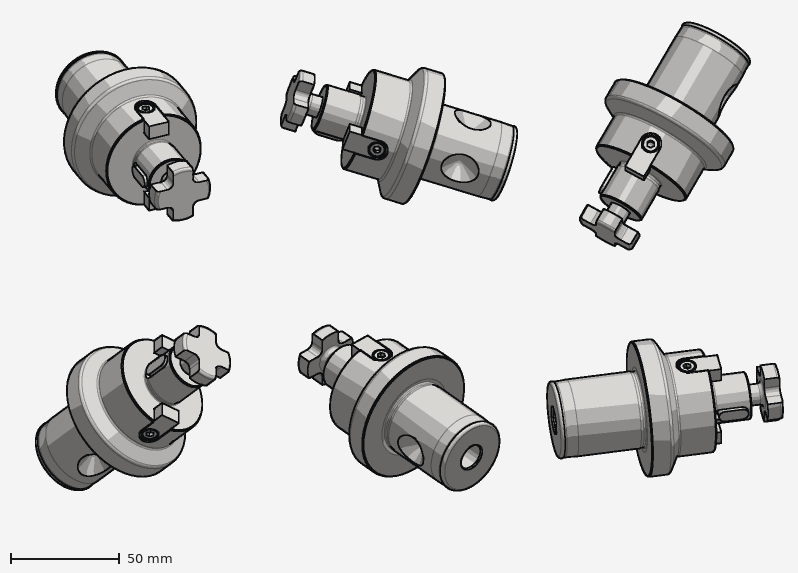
import cadquery as cq
import math


flange_x = 40.0
hub_end = 71.8
pilot_end = 90.8
head_x = 97.8
overall_length = 105.0

shank_radius = 18.0
lead_radius = 17.7
nose_round = 1.3
lead_start = 2.7
lead_end = 8.1
undercut_radius = 17.6
undercut_ramp_start = 37.5
undercut_start = 38.7

dish_radius = 19.8
dish_depth = 0.2
undercut_fillet = 0.5

flange_radius = 31.5
flange_rim_end = 48.8
hub_radius = 23.9
cone_angle = math.radians(60)
flange_round = 1.8
hub_round = 1.2
edge_chamfer = 0.5

pilot_radius = 11.0
neck_radius = 10.7
neck_root_fillet = 0.3
neck_end = 73.2
neck_ramp_end = 74.4

bore_radius = 6.1
bore_depth = 47.2
bore_chamfer_width = 0.4
bore_chamfer_length = 0.8
core_radius = 4.36

seat_x = 22.0
seat_radius = 8.8
seat_depth = 8.8

drive_key_width = 10.0
drive_key_start = 57.5
drive_key_end = 77.6
drive_key_bottom = 16.0
drive_key_top = 22.9
counterbore_radius = 4.1
counterbore_depth = 3.7

screw_x = drive_key_start + drive_key_width / 2
screw_head_radius = 3.5
screw_shank_radius = 2.0
screw_tip = 8.4
socket_flats = 3.2
socket_depth = 2.1
socket_cone_depth = 0.9

feather_width = 6.0
feather_start = 75.1
feather_end = 89.0
feather_slot_start = 72.9
feather_top = 12.4
feather_floor = 6.4

clamp_start = 63.0
clamp_radius = 4.9
clamp_fillet = 1.9
head_radius = 14.1
head_round = 1.4
head_arm_width = 9.9
head_corner_fillet = 3.0

HALF_DIAGONAL = math.sqrt(0.5)


def revolve_about_x(profile):
    """Turn a closed XY half profile, given as (x, radius), around the X axis."""
    return profile.revolve(360, (0, 0, 0), (1, 0, 0))


def cylinder_x(start, end, radius):
    return cq.Workplane("YZ", origin=(start, 0, 0)).circle(radius).extrude(end - start)


def cylinder_z(x, bottom, top, radius):
    return cq.Workplane("XY", origin=(x, 0, bottom)).circle(radius).extrude(top - bottom)


def turned_below(body):
    """The same body turned half a turn about the X axis."""
    return body.rotate((0, 0, 0), (1, 0, 0), 180)



def drive_key_blank(top):
    """Bar with a half-round rear end, lying along +X, from the slot floor up to the given height."""
    end_radius = drive_key_width / 2
    return (
        cq.Workplane("XY", origin=(0, 0, drive_key_bottom))
        .moveTo(drive_key_end, -end_radius)
        .lineTo(drive_key_end, end_radius)
        .lineTo(screw_x, end_radius)
        .threePointArc((drive_key_start, 0), (screw_x, -end_radius))
        .close()
        .extrude(top - drive_key_bottom)
    )


def feather_shape(start, end):
    """Round-ended bar on the -Y side, from the slot floor to the key top."""
    return (
        cq.Workplane("XZ", origin=((start + end) / 2, -feather_floor, 0))
        .slot2D(end - start, feather_width)
        .extrude(feather_top - feather_floor)
    )



def arc_middle(radius):
    """Axial and radial travel halfway along an arc that turns from the axis to the cone slope."""
    half_angle = cone_angle / 2
    return radius * math.sin(half_angle), radius * (1 - math.cos(half_angle))


def arc_end(radius):
    """Axial and radial travel over the whole of that arc."""
    return radius * math.sin(cone_angle), radius * (1 - math.cos(cone_angle))


def holder_blank():
    nose_centre_radius = shank_radius - nose_round
    nose_end = nose_round + math.sqrt(nose_round**2 - (lead_radius - nose_centre_radius)**2)

    dish_x = flange_x + dish_depth
    round_start = dish_x - undercut_fillet
    round_top = undercut_radius + undercut_fillet
    round_middle = (
        round_start + undercut_fillet * HALF_DIAGONAL,
        round_top - undercut_fillet * HALF_DIAGONAL,
    )

    rim_mid_x, rim_mid_r = arc_middle(flange_round)
    rim_x, rim_r = arc_end(flange_round)
    root_mid_x, root_mid_r = arc_middle(hub_round)
    root_x, root_r = arc_end(hub_round)
    cone_start = (flange_rim_end + rim_x, flange_radius - rim_r)
    cone_end_radius = hub_radius + root_r
    cone_length = (cone_start[1] - cone_end_radius) / math.tan(cone_angle)
    cone_end = (cone_start[0] + cone_length, cone_end_radius)
    hub_start = cone_end[0] + root_x

    neck_root_middle = (
        hub_end + neck_root_fillet * (1 - HALF_DIAGONAL),
        neck_radius + neck_root_fillet * (1 - HALF_DIAGONAL),
    )

    profile = (
        cq.Workplane("XY")
        .moveTo(0, 0)
        .lineTo(0, nose_centre_radius)
        .threePointArc((nose_round, shank_radius), (nose_end, lead_radius))
        .lineTo(lead_start, lead_radius)
        .lineTo(lead_end, shank_radius)
        .lineTo(undercut_ramp_start, shank_radius)
        .lineTo(undercut_start, undercut_radius)
        .lineTo(round_start, undercut_radius)
        .threePointArc(round_middle, (dish_x, round_top))
        .lineTo(flange_x, dish_radius)
        .lineTo(flange_x, flange_radius - edge_chamfer)
        .lineTo(flange_x + edge_chamfer, flange_radius)
        .lineTo(flange_rim_end, flange_radius)
        .threePointArc((flange_rim_end + rim_mid_x, flange_radius - rim_mid_r), cone_start)
        .lineTo(*cone_end)
        .threePointArc((hub_start - root_mid_x, hub_radius + root_mid_r), (hub_start, hub_radius))
        .lineTo(hub_end - edge_chamfer, hub_radius)
        .lineTo(hub_end, hub_radius - edge_chamfer)
        .lineTo(hub_end, neck_radius + neck_root_fillet)
        .threePointArc(neck_root_middle, (hub_end + neck_root_fillet, neck_radius))
        .lineTo(neck_end, neck_radius)
        .lineTo(neck_ramp_end, pilot_radius)
        .lineTo(pilot_end - edge_chamfer, pilot_radius)
        .lineTo(pilot_end, pilot_radius - edge_chamfer)
        .lineTo(pilot_end, 0)
        .close()
    )
    return revolve_about_x(profile)


def rear_bore():
    mouth = bore_radius + bore_chamfer_width
    profile = cq.Workplane("XY").polyline([
        (0, 0),
        (0, mouth),
        (bore_chamfer_length, bore_radius),
        (bore_depth, bore_radius),
        (bore_depth, core_radius),
        (clamp_start, core_radius),
        (clamp_start, 0),
    ]).close()
    return revolve_about_x(profile)


def conical_seat(direction):
    """Cone with its base on the shank surface and its tip towards the axis."""
    base = cq.Vector(seat_x, 0, 0) + direction * shank_radius
    return cq.Workplane(cq.Solid.makeCone(seat_radius, 0, seat_depth, base, direction * -1))


def make_holder():
    holder = holder_blank().cut(rear_bore())
    holder = holder.cut(cylinder_x(clamp_start, pilot_end, clamp_radius))
    for direction in (cq.Vector(0, 0, -1), cq.Vector(0, 1, 0)):
        holder = holder.cut(conical_seat(direction))

    slot = drive_key_blank(hub_radius)
    screw_hole = cylinder_z(screw_x, screw_tip, drive_key_bottom, screw_shank_radius)
    for cutter in (slot, screw_hole):
        holder = holder.cut(cutter).cut(turned_below(cutter))

    return holder.cut(feather_shape(feather_slot_start, feather_end))



def make_drive_key():
    seat_z = drive_key_top - counterbore_depth
    counterbore = cylinder_z(screw_x, seat_z, drive_key_top, counterbore_radius)
    clearance = cylinder_z(screw_x, drive_key_bottom, seat_z, screw_shank_radius)
    return drive_key_blank(drive_key_top).cut(counterbore).cut(clearance)


def make_key_screw():
    head_z = drive_key_top - counterbore_depth
    head = cylinder_z(screw_x, head_z, drive_key_top, screw_head_radius)
    shank = cylinder_z(screw_x, screw_tip, head_z, screw_shank_radius)

    across_corners = socket_flats / math.cos(math.radians(30))
    depth = socket_depth + socket_cone_depth
    hexagon = (
        cq.Workplane("XY", origin=(screw_x, 0, drive_key_top))
        .transformed(rotate=(0, 0, 90))
        .polygon(6, across_corners)
        .extrude(-depth)
    )
    pointed_drill = cylinder_z(screw_x, drive_key_top - socket_depth, drive_key_top, across_corners / 2)
    drill_tip = cq.Solid.makeCone(
        across_corners / 2,
        0,
        socket_cone_depth,
        cq.Vector(screw_x, 0, drive_key_top - socket_depth),
        cq.Vector(0, 0, -1),
    )
    socket = hexagon.intersect(pointed_drill.union(cq.Workplane(drill_tip)))
    return head.union(shank).cut(socket)



def clamp_head():
    """Four-armed head with rounded inner corners and a rounded outer front edge."""
    disc = cylinder_x(head_x, overall_length, head_radius).faces(">X").edges().fillet(head_round)
    length = overall_length - head_x
    arm_span = 2 * head_radius
    cross = (
        cq.Workplane("YZ", origin=(head_x, 0, 0))
        .rect(arm_span, head_arm_width)
        .extrude(length)
        .union(cq.Workplane("YZ", origin=(head_x, 0, 0)).rect(head_arm_width, arm_span).extrude(length))
    )
    inner_reach = head_arm_width
    inner_corners = cq.selectors.BoxSelector(
        (head_x, -inner_reach, -inner_reach),
        (overall_length, inner_reach, inner_reach),
    )
    cross = cross.edges("|X").edges(inner_corners).fillet(head_corner_fillet)
    return cross.intersect(disc)


def make_clamp_screw():
    flare_radius = clamp_radius + clamp_fillet
    flare_start = head_x - clamp_fillet
    flare_middle = (
        flare_start + clamp_fillet * HALF_DIAGONAL,
        flare_radius - clamp_fillet * HALF_DIAGONAL,
    )
    shank_profile = (
        cq.Workplane("XY")
        .moveTo(clamp_start, 0)
        .lineTo(clamp_start, clamp_radius)
        .lineTo(flare_start, clamp_radius)
        .threePointArc(flare_middle, (head_x, flare_radius))
        .lineTo(head_x, 0)
        .close()
    )
    return revolve_about_x(shank_profile).union(clamp_head())



holder = make_holder()
feather_key = feather_shape(feather_start, feather_end)
clamp_screw = make_clamp_screw()

drive_keys = []
key_screws = []
for angle in (0, 180):
    drive_keys.append(make_drive_key().rotate((0, 0, 0), (1, 0, 0), angle).val())
    key_screws.append(make_key_screw().rotate((0, 0, 0), (1, 0, 0), angle).val())

result = cq.Compound.makeCompound([
    holder.val(),
    *drive_keys,
    *key_screws,
    feather_key.val(),
    clamp_screw.val(),
])